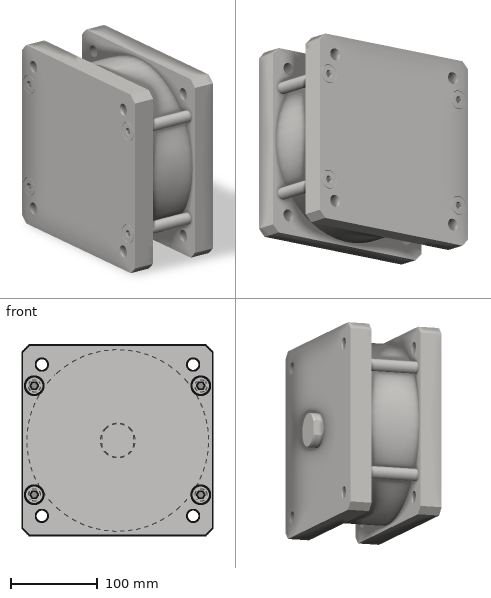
import cadquery as cq
import math

plate_size = 220.0
body_depth = 112.0
total_depth = 124.0
plate_thickness = 26.0
corner_chamfer = 8.4

drum_diameter = 209.9

mount_hole_diameter = 14.0
mount_hole_offset = 87.3

rod_diameter = 14.0
rod_offset_x = 96.1
rod_offset_z = 63.0
recess_diameter = 22.0
head_diameter = 21.0
head_depth = 11.0
socket_across_flats = 8.1
socket_depth = 5.5

boss_diameter = 40.0
boss_tip_chamfer_length = 2.2
boss_tip_chamfer_inset = 0.7
boss_flat_spacing = 36.0
boss_flat_clearance = 2.0

boss_height = total_depth - body_depth
drum_depth = body_depth - 2 * plate_thickness
socket_across_corners = socket_across_flats / math.cos(math.radians(30))
mount_points = [
    (x * mount_hole_offset, z * mount_hole_offset) for x in (-1, 1) for z in (-1, 1)
]
rod_points = [(x * rod_offset_x, z * rod_offset_z) for x in (-1, 1) for z in (-1, 1)]


def section_at(y):
    """Sketch plane parallel to XZ at depth y; negative extrusions run towards +Y."""
    return cq.Workplane("XZ", origin=(0, y, 0))


def plate(front_y):
    """Square plate with chamfered corners and four through holes."""
    blank = section_at(front_y).rect(plate_size, plate_size).extrude(-plate_thickness)
    blank = blank.edges("|Y").chamfer(corner_chamfer)
    holes = (
        section_at(front_y)
        .pushPoints(mount_points)
        .circle(mount_hole_diameter / 2)
        .extrude(-plate_thickness)
    )
    return blank.cut(holes)


def drum_and_rods():
    """Central drum and the four tie rods spanning the gap between the plates."""
    gap = section_at(plate_thickness)
    drum = gap.circle(drum_diameter / 2).extrude(-drum_depth)
    rods = gap.pushPoints(rod_points).circle(rod_diameter / 2).extrude(-drum_depth)
    return drum.union(rods)


def screw_cutouts():
    """Ring-shaped clearance around each screw head and its hexagon socket."""
    screws = section_at(0).pushPoints(rod_points)
    rings = screws.circle(recess_diameter / 2).circle(head_diameter / 2).extrude(-head_depth)
    sockets = screws.polygon(6, socket_across_corners).extrude(-socket_depth)
    return rings.union(sockets)


def boss():
    """Round boss with a chamfered tip and two side flats that run out at 45 degrees near the plate."""
    radius = boss_diameter / 2
    tip_radius = radius - boss_tip_chamfer_inset
    turned = (
        cq.Workplane("XY", origin=(0, body_depth, 0))
        .lineTo(radius, 0)
        .lineTo(radius, boss_height - boss_tip_chamfer_length)
        .lineTo(tip_radius, boss_height)
        .lineTo(0, boss_height)
        .close()
        .revolve(360, (0, 0, 0), (0, 1, 0))
    )

    flat_x = boss_flat_spacing / 2
    runout_x = flat_x + boss_flat_clearance
    between_flats = (
        cq.Workplane("XY", origin=(0, body_depth, 0))
        .moveTo(-runout_x, 0)
        .lineTo(runout_x, 0)
        .lineTo(flat_x, boss_flat_clearance)
        .lineTo(flat_x, boss_height)
        .lineTo(-flat_x, boss_height)
        .lineTo(-flat_x, boss_flat_clearance)
        .close()
        .extrude(radius, both=True)
    )
    return turned.intersect(between_flats)


front_plate = plate(0).cut(screw_cutouts())
back_plate = plate(body_depth - plate_thickness)
result = front_plate.union(drum_and_rods()).union(back_plate).union(boss())